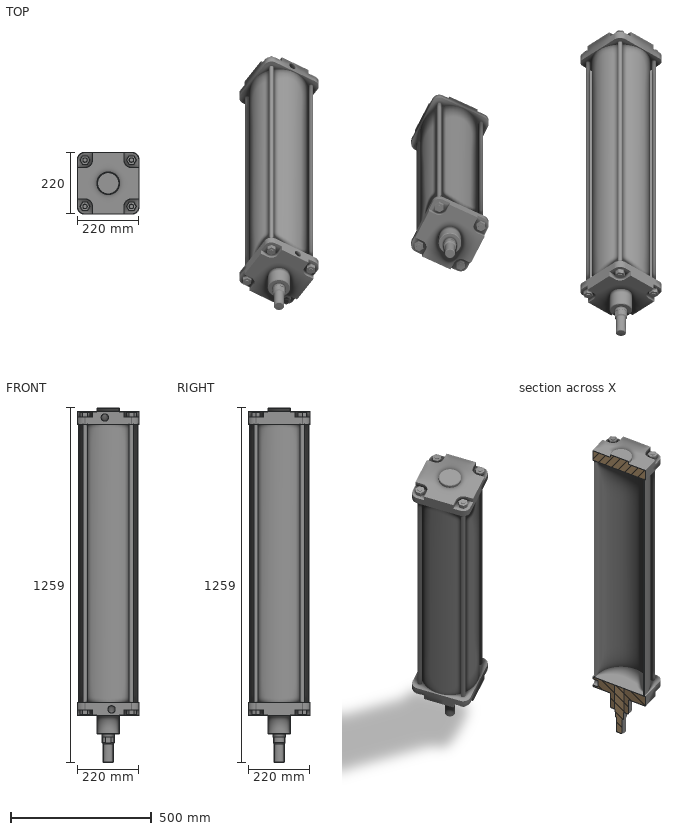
import cadquery as cq
import math

CAP_SIZE = 220.0
CAP_THICKNESS = 46.0
BARREL_LENGTH = 988.0
BARREL_OUTER_DIAMETER = 211.0
BARREL_BORE = 200.0

TIE_ROD_OFFSET = 82.5
TIE_ROD_DIAMETER = 16.0
NUT_ACROSS_FLATS = 30.0
NUT_HEIGHT = 16.0

CAP_CORNER_RADIUS = CAP_SIZE / 2 - TIE_ROD_OFFSET
RECESS_RADIUS = 26.5
RECESS_DEPTH = 19.0

PORT_DIAMETER = 26.0
PORT_DEPTH = 20.0
PORT_OFFSET = 12.0
PORT_FROM_OUTER_FACE = 21.5

COLLAR_DIAMETER = 80.0
REAR_COLLAR_HEIGHT = 12.0
FRONT_BOSS_LENGTH = 66.0
COLLAR_CHAMFER = 2.0

ROD_DIAMETER = 44.0
NECK_LENGTH = 11.0
NECK_DIAMETER = 45.0
ROD_EXTENSION = 101.0
FLATS_WIDTH = 40.0
THREAD_DIAMETER = 36.0
THREAD_LENGTH = 66.0
SHOULDER_CHAMFER = (ROD_DIAMETER - THREAD_DIAMETER) / 2
THREAD_CHAMFER = 2.0

BARREL_TOP = BARREL_LENGTH / 2
CAP_OUTER_FACE = BARREL_TOP + CAP_THICKNESS
RECESS_FLOOR = CAP_OUTER_FACE - RECESS_DEPTH
BOSS_END = -CAP_OUTER_FACE - FRONT_BOSS_LENGTH
NECK_END = BOSS_END - NECK_LENGTH
SHOULDER = -CAP_OUTER_FACE - ROD_EXTENSION
ROD_END = SHOULDER - THREAD_LENGTH

CORNER_SIGNS = [(1, 1), (-1, 1), (-1, -1), (1, -1)]


def cylinder(diameter, bottom, top):
    """Solid cylinder on the Z axis between two heights."""
    return cq.Workplane("XY").workplane(offset=bottom).circle(diameter / 2).extrude(top - bottom)


def corner_recess(sign_x, sign_y):
    """Cutter that opens one cap corner down to the nut seat."""
    inner = TIE_ROD_OFFSET - RECESS_RADIUS
    outer = CAP_SIZE
    width = outer - inner
    centre = (inner + outer) / 2
    inner_edge_middle = (sign_x * inner, sign_y * inner, RECESS_FLOOR + RECESS_DEPTH / 2)
    return (
        cq.Workplane("XY")
        .workplane(offset=RECESS_FLOOR)
        .center(sign_x * centre, sign_y * centre)
        .rect(width, width)
        .extrude(RECESS_DEPTH)
        .edges(cq.selectors.NearestToPointSelector(inner_edge_middle))
        .fillet(RECESS_RADIUS)
    )


def cap_with_collar(collar_height):
    """Cap at the +Z end of the barrel with a chamfered round collar on its outer face."""
    cap = (
        cq.Workplane("XY")
        .workplane(offset=BARREL_TOP)
        .rect(CAP_SIZE, CAP_SIZE)
        .extrude(CAP_THICKNESS)
        .edges("|Z")
        .fillet(CAP_CORNER_RADIUS)
    )
    for sign_x, sign_y in CORNER_SIGNS:
        cap = cap.cut(corner_recess(sign_x, sign_y))
        tie_rod_hole = cylinder(TIE_ROD_DIAMETER, BARREL_TOP, RECESS_FLOOR)
        cap = cap.cut(tie_rod_hole.translate((sign_x * TIE_ROD_OFFSET, sign_y * TIE_ROD_OFFSET, 0)))
    collar = cylinder(COLLAR_DIAMETER, CAP_OUTER_FACE, CAP_OUTER_FACE + collar_height)
    return cap.union(collar.faces(">Z").chamfer(COLLAR_CHAMFER))


def port(x, z):
    """Cutter for a blind port entering the -Y face."""
    return (
        cq.Workplane("XZ", origin=(x, -CAP_SIZE / 2, z))
        .circle(PORT_DIAMETER / 2)
        .extrude(-PORT_DEPTH)
    )


def make_rear_cap():
    """Closed cap at the +Z end."""
    return cap_with_collar(REAR_COLLAR_HEIGHT).cut(port(-PORT_OFFSET, CAP_OUTER_FACE - PORT_FROM_OUTER_FACE))


def make_front_cap():
    """Cap at the -Z end, with the passage for the piston rod."""
    cap = cap_with_collar(FRONT_BOSS_LENGTH).mirror("XY")
    cap = cap.cut(port(PORT_OFFSET, PORT_FROM_OUTER_FACE - CAP_OUTER_FACE))
    return cap.cut(cylinder(NECK_DIAMETER, BOSS_END, -BARREL_TOP))


def make_barrel():
    """Round tube between the two caps."""
    bore = cylinder(BARREL_BORE, -BARREL_TOP, BARREL_TOP)
    return cylinder(BARREL_OUTER_DIAMETER, -BARREL_TOP, BARREL_TOP).cut(bore)


def make_piston_rod():
    """Rod with a neck, wrench flats on +Y and -Y, and a stepped-down threaded end."""
    shank = cylinder(ROD_DIAMETER, SHOULDER, NECK_END).faces("<Z").chamfer(SHOULDER_CHAMFER)
    for side in (1, -1):
        flat = (
            cq.Workplane("XY")
            .workplane(offset=SHOULDER)
            .center(0, side * (FLATS_WIDTH + ROD_DIAMETER) / 2)
            .rect(ROD_DIAMETER, ROD_DIAMETER)
            .extrude(NECK_END - SHOULDER)
        )
        shank = shank.cut(flat)
    thread = cylinder(THREAD_DIAMETER, ROD_END, SHOULDER).faces("<Z").chamfer(THREAD_CHAMFER)
    neck = cylinder(NECK_DIAMETER, NECK_END, -BARREL_TOP)
    return neck.union(shank).union(thread)


def make_tie_rod(sign_x, sign_y):
    """Tie rod with a nut at each end, seated on the recess floors."""
    rod = cylinder(TIE_ROD_DIAMETER, -CAP_OUTER_FACE, CAP_OUTER_FACE)
    nut_across_corners = NUT_ACROSS_FLATS / math.cos(math.pi / 6)
    nut = (
        cq.Workplane("XY")
        .workplane(offset=RECESS_FLOOR)
        .polygon(6, nut_across_corners)
        .extrude(NUT_HEIGHT)
    )
    rod = rod.union(nut).union(nut.mirror("XY"))
    return rod.translate((sign_x * TIE_ROD_OFFSET, sign_y * TIE_ROD_OFFSET, 0))


rear_cap = make_rear_cap()
front_cap = make_front_cap()
barrel = make_barrel()
piston_rod = make_piston_rod()
tie_rods = [make_tie_rod(sign_x, sign_y) for sign_x, sign_y in CORNER_SIGNS]

result = cq.Compound.makeCompound(
    [
        rear_cap.val(),
        front_cap.val(),
        barrel.val(),
        piston_rod.val(),
        *[tie_rod.val() for tie_rod in tie_rods],
    ]
)